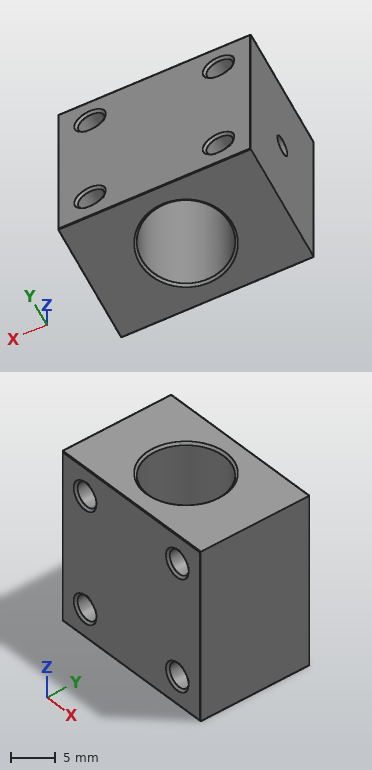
import cadquery as cq

width = 24.0
depth = 16.0
height = 24.0
edge_chamfer = 0.1

bore_diameter = 11.0
bore_mouth_diameter = 11.62

mount_diameter = 3.3
mount_mouth_diameter = 3.94
mount_spacing = 16.0

cross_diameter = 2.5


def chamfered_hole_cutter(diameter, mouth_diameter, length):
    """Cylinder centred on the origin along Z, flaring at 45 degrees at each end."""
    flare = (mouth_diameter - diameter) / 2
    cutter = cq.Workplane("XY").circle(mouth_diameter / 2).extrude(length)
    shank_ring = (
        cq.Workplane("XY")
        .circle(mouth_diameter)
        .circle(diameter / 2)
        .extrude(length)
        .edges("%CIRCLE")
        .edges(cq.selectors.RadiusNthSelector(0))
        .chamfer(flare)
    )
    return cutter.cut(shank_ring).translate((0, 0, -length / 2))


block = cq.Workplane("XY").box(width, depth, height).faces("<Y or >Y").edges().chamfer(edge_chamfer)

bore = chamfered_hole_cutter(bore_diameter, bore_mouth_diameter, height)

mount_hole = chamfered_hole_cutter(mount_diameter, mount_mouth_diameter, depth)
mount_hole = mount_hole.rotate((0, 0, 0), (1, 0, 0), 90)

cross_hole = cq.Workplane("YZ").circle(cross_diameter / 2).extrude(-width / 2)

result = block.cut(bore).cut(cross_hole)
for x_side in (-1, 1):
    for z_side in (-1, 1):
        offset = (x_side * mount_spacing / 2, 0, z_side * mount_spacing / 2)
        result = result.cut(mount_hole.translate(offset))